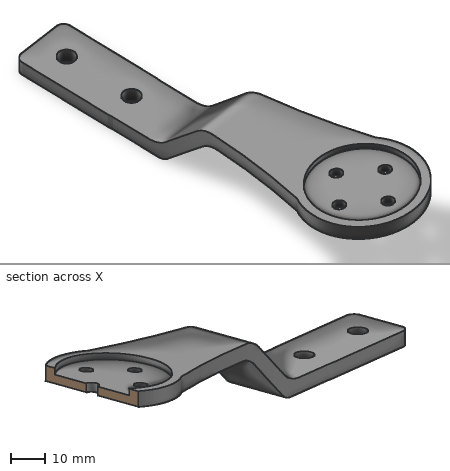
import cadquery as cq
import math

length = 145.1
height = 27.9
thickness = 5.0
ramp_angle = math.radians(45)
arm_tilt = math.radians(4)
top_bend_start = 51.2
ramp_top_end = 77.0
large_bend_radius = 10.0
small_bend_radius = 5.0

base_half_width = 10.5
neck_half_width = 10.3
step_start = 35.8
neck_start = 37.7
flare_start = 57.3
flare_middle = (90.0, 12.5)
flare_end = 115.1
corner_radius = 2.8

head_diameter = 39.9
head_radius = head_diameter / 2
head_x = length - head_radius
pocket_diameter = 34.0
pocket_depth = 2.0
head_hole_diameter = 4.0
head_hole_offset = 10.0
mount_hole_diameter = 6.0
mount_hole_xs = (10.7, 35.8)


def arm_top(x):
    """Height of the tilted top face at x."""
    return height - (length - x) * math.tan(arm_tilt)


def bent_plate():
    """Constant-thickness side profile, bent twice and extruded across the full width."""
    lower_x = top_bend_start + large_bend_radius * math.tan(ramp_angle / 2)
    upper_turn = (ramp_angle - arm_tilt) / 2
    upper_x = ramp_top_end - large_bend_radius * math.tan(upper_turn) * math.cos(arm_tilt)
    upper_z = arm_top(upper_x)
    slope = math.atan2(upper_z - thickness, upper_x - lower_x)
    lower_shift = thickness * math.tan(slope / 2)
    normal_turn = (slope + arm_tilt) / 2
    miter = thickness / math.cos((slope - arm_tilt) / 2)
    under_x = upper_x + miter * math.sin(normal_turn)
    under_z = upper_z - miter * math.cos(normal_turn)
    arm_drop = thickness / math.cos(arm_tilt)

    plate = (
        cq.Workplane("XZ")
        .polyline([
            (0, 0),
            (lower_x + lower_shift, 0),
            (under_x, under_z),
            (length, height - arm_drop),
            (length, height),
            (upper_x, upper_z),
            (lower_x, thickness),
            (0, thickness),
        ])
        .close()
        .extrude(head_radius, both=True)
    )

    def bend(body, x, z, radius):
        margin = 0.1
        selector = cq.selectors.BoxSelector(
            (x - margin, -margin, z - margin), (x + margin, margin, z + margin)
        )
        return body.edges(selector).fillet(radius)

    plate = bend(plate, lower_x, thickness, large_bend_radius)
    plate = bend(plate, lower_x + lower_shift, 0, small_bend_radius)
    plate = bend(plate, upper_x, upper_z, large_bend_radius)
    return bend(plate, under_x, under_z, large_bend_radius)


def plan_outline():
    """Strap with a flared arm and a round head, as a tall vertical prism."""
    flare_y = math.sqrt(head_radius**2 - (head_x - flare_end) ** 2)
    middle_x, middle_y = flare_middle
    outline = (
        cq.Workplane("XY")
        .moveTo(0, -base_half_width)
        .lineTo(step_start, -base_half_width)
        .lineTo(neck_start, -neck_half_width)
        .lineTo(flare_start, -neck_half_width)
        .threePointArc((middle_x, -middle_y), (flare_end, -flare_y))
        .threePointArc((length, 0), (flare_end, flare_y))
        .threePointArc((middle_x, middle_y), (flare_start, neck_half_width))
        .lineTo(neck_start, neck_half_width)
        .lineTo(step_start, base_half_width)
        .lineTo(0, base_half_width)
        .close()
        .extrude(height)
    )
    return outline.edges("|Z and <X").fillet(corner_radius)


def drill(points, diameter):
    """Vertical cutters through the whole part."""
    return cq.Workplane("XY").pushPoints(points).circle(diameter / 2).extrude(height)


def head_pocket():
    """Round recess with a floor parallel to the tilted top face."""
    floor_z = arm_top(head_x) - pocket_depth / math.cos(arm_tilt)
    cylinder = (
        cq.Workplane("XY").center(head_x, 0).circle(pocket_diameter / 2).extrude(height)
    )
    above_floor = (
        cq.Workplane("XY")
        .box(length, length, height, centered=(True, True, False))
        .rotate((0, 0, 0), (0, 1, 0), -math.degrees(arm_tilt))
        .translate((head_x, 0, floor_z))
    )
    return cylinder.intersect(above_floor)


head_holes = [
    (head_x + head_hole_offset, 0),
    (head_x - head_hole_offset, 0),
    (head_x, head_hole_offset),
    (head_x, -head_hole_offset),
]
mount_holes = [(x, 0) for x in mount_hole_xs]

result = (
    bent_plate()
    .intersect(plan_outline())
    .cut(head_pocket())
    .cut(drill(head_holes, head_hole_diameter))
    .cut(drill(mount_holes, mount_hole_diameter))
)